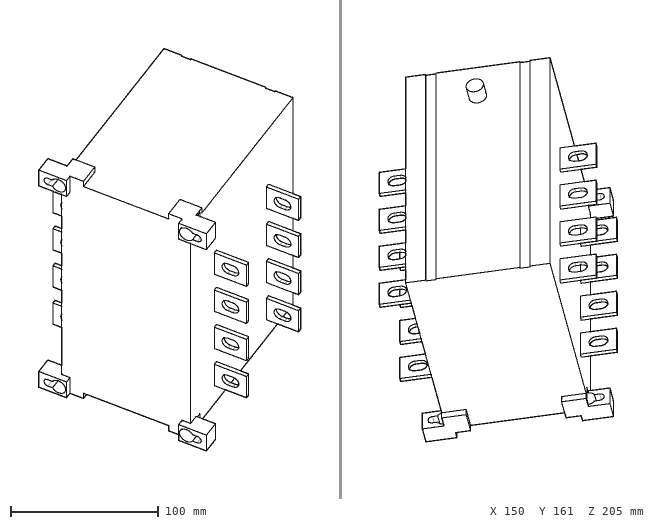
import cadquery as cq

overall_width = 150.0
overall_height = 205.0
overall_depth = 161.0
foot_step = 5.0
housing_width = 100.0
housing_depth = 145.0
housing_height = overall_height - 2 * foot_step
housing_side = housing_width / 2
housing_back = housing_depth / 2
housing_front = -housing_back

groove_width = 7.0
groove_depth = 0.8
groove_x = 32.5

shaft_diameter = 12.0
shaft_z = 70.0
shaft_length = overall_depth - foot_step - housing_depth

tab_reach = (overall_width - housing_width) / 2
tab_height = 20.0
tab_thickness = 3.0
tab_pitch = 35.0
tab_levels = [tab_pitch * step for step in (-2, -1, 0, 1)]
tab_row_setback = 35.0
tab_row_spacing = 73.5
front_row_y = housing_front + tab_row_setback
back_row_y = front_row_y + tab_row_spacing
tab_slot_length = 13.0
tab_slot_width = 9.0

foot_span = 130.0
foot_length = 21.5
foot_height = 15.0
foot_thickness = 13.0
foot_front = housing_front - foot_step
foot_outer_x = foot_span / 2
foot_inner_x = foot_outer_x - foot_length
foot_z = (overall_height - foot_height) / 2

lug_inner_x = 33.0
lug_depth = 16.0

keyhole_diameter = 11.0
keyhole_x = 49.6
keyhole_slot_width = 6.0
keyhole_slot_end_x = 60.9
keyhole_depth = 18.0


def block(x_range, y_range, z_range):
    """Box spanning the given (low, high) range on each axis."""
    size = [high - low for low, high in (x_range, y_range, z_range)]
    corner = (x_range[0], y_range[0], z_range[0])
    return cq.Workplane("XY").box(*size, centered=False).translate(corner)


def mirrored_in_x(shape):
    """The shape together with its mirror image across the YZ plane."""
    return shape.union(shape.mirror("YZ"))


def four_corners(shape):
    """The shape repeated at all four corners of the XZ outline."""
    pair = mirrored_in_x(shape)
    return pair.union(pair.mirror("XY"))


def make_housing():
    housing = cq.Workplane("XY").box(housing_width, housing_depth, housing_height)
    groove = (
        cq.Workplane("XY")
        .box(groove_width, 2 * groove_depth, housing_height)
        .translate((groove_x, housing_back, 0))
    )
    return housing.cut(mirrored_in_x(groove))


def make_shaft():
    return (
        cq.Workplane("XZ", origin=(0, housing_back, shaft_z))
        .circle(shaft_diameter / 2)
        .extrude(-shaft_length)
    )


def make_tab(row_y, level_z):
    tab = cq.Workplane("XZ").rect(tab_reach, tab_height).extrude(tab_thickness / 2, both=True)
    slot = (
        cq.Workplane("XZ")
        .slot2D(tab_slot_length, tab_slot_width)
        .extrude(tab_thickness, both=True)
    )
    return tab.cut(slot).translate((housing_side + tab_reach / 2, row_y, level_z))


def make_foot():
    foot = block(
        (foot_inner_x, foot_outer_x),
        (foot_front, foot_front + foot_thickness),
        (foot_z - foot_height / 2, foot_z + foot_height / 2),
    )
    lug = block(
        (lug_inner_x, housing_side),
        (housing_front, housing_front + lug_depth),
        (housing_height / 2, overall_height / 2),
    )
    return foot.union(lug)


def make_keyhole():
    face = cq.Workplane("XZ", origin=(0, foot_front, foot_z))
    round_end = face.center(keyhole_x, 0).circle(keyhole_diameter / 2).extrude(-keyhole_depth)
    slot_length = keyhole_slot_end_x - keyhole_x + keyhole_slot_width / 2
    slot_x = keyhole_slot_end_x - slot_length / 2
    slot = face.center(slot_x, 0).slot2D(slot_length, keyhole_slot_width).extrude(-keyhole_depth)
    return round_end.union(slot)


result = make_housing().union(make_shaft())
for row_y in (front_row_y, back_row_y):
    for level_z in tab_levels:
        result = result.union(mirrored_in_x(make_tab(row_y, level_z)))
result = result.union(four_corners(make_foot())).cut(four_corners(make_keyhole()))